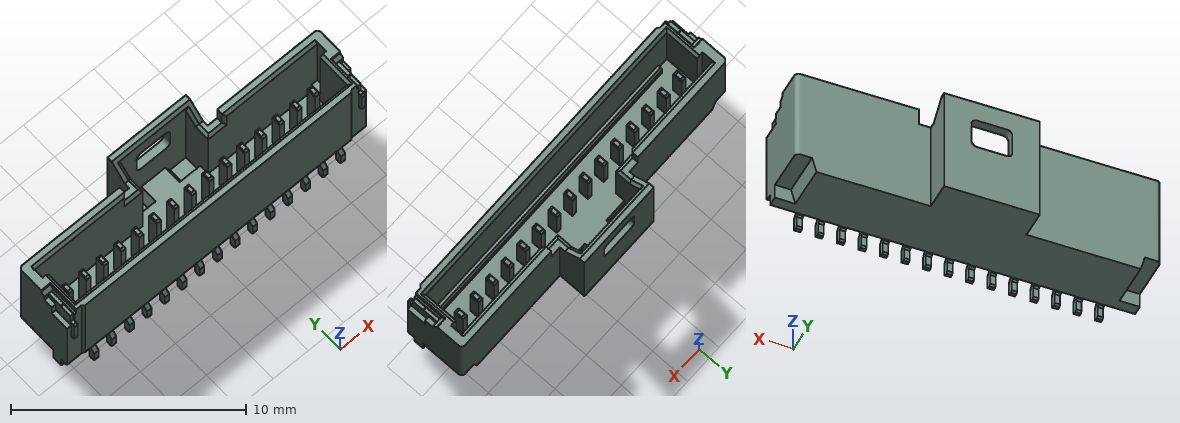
import cadquery as cq

length = 17.0
half_length = length / 2
top_z = 5.9
bottom_z = 0.56
side_front_y = 0.2
back_y = 3.3
back_corner_radius = 0.2

panel_y = 0.1
panel_half_width = 7.56
panel_edge = side_front_y - panel_y
overhang_z = 1.1
overhang_chamfer = 0.19
foot_front_y = 0.58

tower_back_y = 4.7
tower_half_width = 2.23
saddle_half_width = 2.77
saddle_z = 5.07
saddle_slope_y = 3.59

floor_z = 1.56
cavity_half_length = 7.72
cavity_front_y = 0.55
cavity_back_y = 2.84
tower_cavity_half_width = 1.85
tower_cavity_back_y = 4.27
rim_chamfer = 0.15

ledge_half_length = 8.05
ledge_front_y = 2.28
ledge_z = 2.21

rib_half_length = 7.15
rib_thickness = 0.25
rib_height = 0.51
rib_chamfer = 0.1

window_half_width = 0.95
window_bottom_z = 3.37
window_top_z = 4.88
window_radius = 0.27

sunk_front_y = 3.35
sunk_depth = 0.6
hump_half_width = 0.68

undercut_front_y = 1.09
undercut_top_z = 1.3
undercut_top_inset = 0.75
undercut_bottom_inset = 0.95

recess_depth = 0.53
recess_back_y = 1.87
recess_slope_z = 5.75
clip_back_y = 1.67
clip_top_z = 5.58
clip_step_y = 1.19
clip_upper_z = 5.27
clip_lower_z = 4.71

clip_outer_inset = 0.24
clip_inner_inset = 0.42
clip_jog_y = 0.9
clip_jog = 0.03
clip_front_y = 0.27
tab_top_z = 4.95
tab_bottom_z = 3.64
tab_chamfer = 0.1

contact_count = 15
contact_row_length = 14.0
contact_pitch = contact_row_length / (contact_count - 1)
contact_width = 0.25
blade_front_y = 1.65
blade_depth = 0.5
blade_top_z = 4.08
blade_taper_depth = 0.1
blade_taper_width = 0.03
blade_taper_height = 0.1
tail_thickness = 0.32
tail_top_z = 1.09
tail_root_z = 0.66
tail_bend_z = 0.71
tail_bend_y = 0.35
tail_inner_bend = 0.08
tail_tip_chamfer = 0.08


def block(x_min, x_max, y_min, y_max, z_min, z_max):
    """Axis-aligned box given by its limits."""
    size = (x_max - x_min, y_max - y_min, z_max - z_min)
    return cq.Workplane("XY").box(*size, centered=False).translate((x_min, y_min, z_min))


def side_profile(points, x_min, x_max):
    """Outline of (y, z) points extruded from x_min to x_max."""
    return cq.Workplane("YZ").polyline(points).close().extrude(x_max - x_min).translate((x_min, 0, 0))


def both_ends(shape):
    """The shape together with its mirror image at the other end."""
    return shape.union(shape.mirror("YZ"))


def outer_shell():
    main = block(-half_length, half_length, side_front_y, back_y, bottom_z, top_z)
    main = main.edges("|Z and >Y").fillet(back_corner_radius)
    panel = (
        cq.Workplane("XY").workplane(offset=bottom_z)
        .polyline([
            (-panel_half_width - panel_edge, side_front_y),
            (-panel_half_width, panel_y),
            (panel_half_width, panel_y),
            (panel_half_width + panel_edge, side_front_y),
        ]).close().extrude(top_z - bottom_z)
    )
    tower = block(-tower_half_width, tower_half_width, cavity_back_y, tower_back_y, bottom_z, top_z)
    underside = side_profile([
        (panel_y, overhang_z + overhang_chamfer),
        (panel_y + overhang_chamfer, overhang_z),
        (foot_front_y, overhang_z),
        (foot_front_y, bottom_z),
        (panel_y, bottom_z),
    ], -half_length, half_length)
    return main.union(panel).union(tower).cut(underside)


def saddle():
    """Lowered stretch of the back wall, rising at 45 degrees to the back of the tower."""
    rise = top_z - saddle_z
    return side_profile([
        (cavity_back_y, saddle_z),
        (saddle_slope_y, saddle_z),
        (saddle_slope_y + rise, top_z),
        (cavity_back_y, top_z),
    ], -saddle_half_width, saddle_half_width)


def cavity():
    main = block(-cavity_half_length, cavity_half_length, cavity_front_y, cavity_back_y, floor_z, top_z)
    tower = block(
        -tower_cavity_half_width, tower_cavity_half_width,
        cavity_front_y, tower_cavity_back_y, floor_z, top_z,
    )
    ledges = block(-ledge_half_length, ledge_half_length, ledge_front_y, cavity_back_y, ledge_z, top_z)
    return main.union(tower).union(ledges)


def is_rim_edge(edge):
    """True for the edges round the cavity mouth that carry the lead-in chamfer."""
    tolerance = 0.002
    box = edge.BoundingBox()
    center = edge.Center()
    x = abs(center.x)
    if center.z < saddle_z - tolerance:
        return False
    on_back = box.ylen < tolerance and abs(center.y - cavity_back_y) < tolerance
    is_vertical = box.xlen + box.ylen < tolerance
    if is_vertical:
        return on_back and abs(x - saddle_half_width) < tolerance
    on_front = abs(box.ymax - cavity_front_y) < tolerance
    on_end = box.xlen < tolerance and abs(x - cavity_half_length) < tolerance
    on_tower = box.xlen < tolerance and abs(x - tower_cavity_half_width) < tolerance
    return on_front or on_back or on_end or on_tower


def window():
    return (
        cq.Workplane("XY")
        .box(2 * window_half_width, tower_back_y - tower_cavity_back_y, window_top_z - window_bottom_z)
        .edges("|Y").fillet(window_radius)
        .translate((0, (tower_back_y + tower_cavity_back_y) / 2, (window_top_z + window_bottom_z) / 2))
    )


def sunken_floor():
    return both_ends(
        cq.Workplane("XZ")
        .polyline([
            (hump_half_width, floor_z),
            (window_half_width, floor_z - sunk_depth),
            (tower_cavity_half_width, floor_z - sunk_depth),
            (tower_cavity_half_width, floor_z),
        ]).close()
        .extrude(sunk_front_y - tower_cavity_back_y)
        .translate((0, sunk_front_y, 0))
    )


def front_rib():
    back = cavity_front_y + rib_thickness
    top = floor_z + rib_height
    return side_profile([
        (cavity_front_y, floor_z),
        (back, floor_z),
        (back, top - rib_chamfer),
        (back - rib_chamfer, top),
        (cavity_front_y, top),
    ], -rib_half_length, rib_half_length)


def end_undercut():
    return both_ends(
        cq.Workplane("XZ")
        .polyline([
            (half_length, undercut_top_z),
            (half_length, bottom_z),
            (half_length - undercut_bottom_inset, bottom_z),
            (half_length - undercut_top_inset, undercut_top_z),
        ]).close()
        .extrude(undercut_front_y - back_y)
        .translate((0, undercut_front_y, 0))
    )


def clip_recess():
    """Slot for the clip, with a wider sloped mouth and a ramp from the mouth down to the slot."""
    mouth = side_profile([
        (panel_y, top_z),
        (recess_back_y, top_z),
        (recess_back_y, recess_slope_z),
        (clip_back_y, clip_top_z),
        (panel_y, clip_top_z),
    ], half_length - recess_depth, half_length)
    slot = side_profile([
        (panel_y, clip_top_z),
        (clip_back_y, clip_top_z),
        (clip_back_y, clip_upper_z),
        (clip_step_y, clip_upper_z),
        (clip_step_y, clip_lower_z),
        (panel_y, clip_lower_z),
    ], half_length - clip_inner_inset, half_length)
    ramp_size = recess_depth - clip_inner_inset
    ramp = (
        cq.Workplane("XZ")
        .polyline([
            (half_length - recess_depth, clip_top_z),
            (half_length - clip_inner_inset, clip_top_z),
            (half_length - clip_inner_inset, clip_top_z - ramp_size),
        ]).close()
        .extrude(panel_y - clip_back_y)
        .translate((0, panel_y, 0))
    )
    return both_ends(mouth.union(slot).union(ramp))


def clip():
    return both_ends(side_profile([
        (clip_back_y, clip_top_z),
        (clip_back_y, clip_upper_z),
        (clip_step_y, clip_upper_z),
        (clip_step_y, clip_lower_z),
        (side_front_y, clip_lower_z),
        (side_front_y, tab_bottom_z),
        (tab_chamfer, tab_bottom_z),
        (0, tab_bottom_z + tab_chamfer),
        (0, tab_top_z - tab_chamfer),
        (tab_chamfer, tab_top_z),
        (clip_front_y, tab_top_z),
        (clip_front_y, clip_top_z - clip_jog),
        (clip_jog_y - clip_jog, clip_top_z - clip_jog),
        (clip_jog_y, clip_top_z),
    ], half_length - clip_inner_inset, half_length - clip_outer_inset))


def contact():
    """One contact centred on X = 0: a blade in the cavity and a bent tail in front of the foot."""
    shoulder_z = blade_top_z - blade_taper_height
    blade_center_y = blade_front_y + blade_depth / 2
    blade = block(
        -contact_width / 2, contact_width / 2,
        blade_front_y, blade_front_y + blade_depth, floor_z, shoulder_z,
    )
    tip = (
        cq.Workplane("XY").workplane(offset=shoulder_z).center(0, blade_center_y)
        .rect(contact_width, blade_depth)
        .workplane(offset=blade_taper_height)
        .rect(contact_width - 2 * blade_taper_width, blade_depth - 2 * blade_taper_depth)
        .loft()
    )
    tail = side_profile([
        (foot_front_y, tail_top_z),
        (tail_bend_y, tail_top_z),
        (0, tail_bend_z),
        (0, tail_tip_chamfer),
        (tail_tip_chamfer, 0),
        (tail_thickness - tail_tip_chamfer, 0),
        (tail_thickness, tail_tip_chamfer),
        (tail_thickness, tail_root_z - tail_inner_bend),
        (tail_thickness + tail_inner_bend, tail_root_z),
        (foot_front_y, tail_root_z),
    ], -contact_width / 2, contact_width / 2)
    return blade.union(tip).union(tail)


housing = outer_shell().cut(cavity()).cut(saddle())
rim_edges = [edge for edge in housing.edges().vals() if is_rim_edge(edge)]
housing = housing.newObject(rim_edges).chamfer(rim_chamfer)
housing = housing.cut(window()).cut(sunken_floor()).cut(end_undercut()).cut(clip_recess())
housing = housing.union(front_rib()).union(clip())

for index in range(contact_count):
    x = index * contact_pitch - contact_row_length / 2
    housing = housing.union(contact().translate((x, 0, 0)))

result = housing